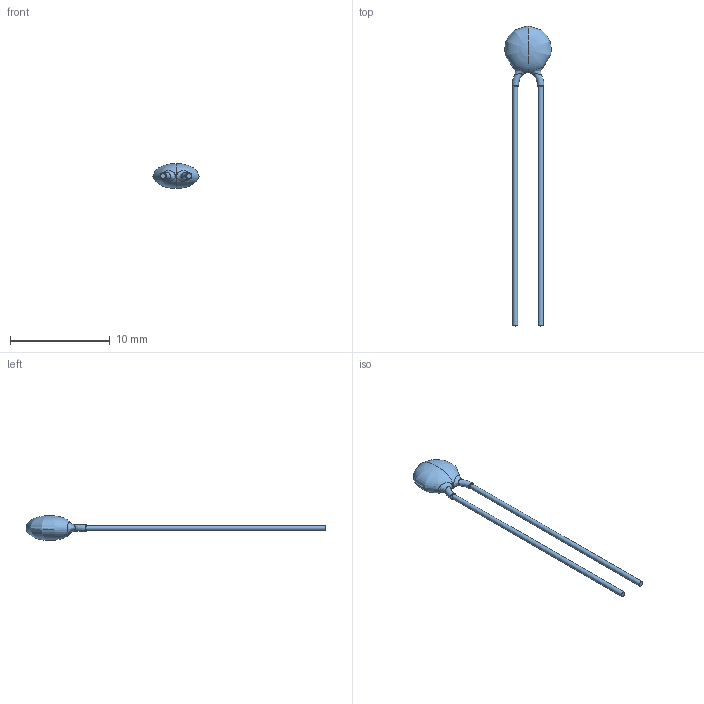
import cadquery as cq
import math

body_diameter = 4.7
body_thickness = 2.5
overall_length = 30.03
lead_pitch = 2.54
lead_diameter = 0.5
sleeve_diameter = 0.65
sleeve_end_y = -3.72
sleeve_end_rounding = 0.1
sleeve_straight_length = 0.12
bend_radius = 1.95
bend_angle = 55.0
root_fillet_radius = 0.65

body_radius = body_diameter / 2
lead_end_y = body_radius - overall_length
lead_x = -lead_pitch / 2
bend_start_y = sleeve_end_y + sleeve_straight_length


def make_half_body():
    """Half of the lens-shaped ellipsoid, on the -X side of the YZ plane."""
    half_thickness = body_thickness / 2
    profile = (
        cq.Workplane("XZ")
        .moveTo(0, -half_thickness)
        .ellipseArc(body_radius, half_thickness, -90, 90, startAtCurrent=True)
        .close()
    )
    body = profile.revolve(360, (0, 0, 0), (0, 1, 0))
    keep_box = cq.Workplane("XY").box(
        body_diameter, 2 * body_diameter, 2 * body_thickness, centered=(False, True, True)
    )
    return body.intersect(keep_box.translate((-body_diameter, 0, 0)))


def make_sleeve():
    """Coating sleeve: straight at its open end, then bending inward into the body."""

    def bend_point(angle):
        turn = math.radians(angle)
        return (
            lead_x + bend_radius * (1 - math.cos(turn)),
            bend_start_y + bend_radius * math.sin(turn),
        )

    path = (
        cq.Workplane("XY")
        .moveTo(lead_x, sleeve_end_y)
        .lineTo(lead_x, bend_start_y)
        .threePointArc(bend_point(bend_angle / 2), bend_point(bend_angle))
    )
    sleeve = (
        cq.Workplane("XZ", origin=(lead_x, sleeve_end_y, 0))
        .circle(sleeve_diameter / 2)
        .sweep(path)
    )
    return sleeve.faces("<Y").edges().fillet(sleeve_end_rounding)


def make_lead():
    """Bare straight wire from inside the sleeve to the free end."""
    return (
        cq.Workplane("XZ", origin=(lead_x, bend_start_y, 0))
        .circle(lead_diameter / 2)
        .extrude(bend_start_y - lead_end_y)
    )


def blend_sleeve_root(half):
    """Fillet the seam where the sleeve enters the body."""
    reach = sleeve_diameter
    low_corner = (lead_x - reach, bend_start_y + reach / 2, -reach)
    high_corner = (-reach / 4, -body_radius / 2, reach)
    root_edge = cq.selectors.BoxSelector(low_corner, high_corner, boundingbox=True)
    return half.edges(root_edge).fillet(root_fillet_radius)


coated_half = blend_sleeve_root(make_half_body().union(make_sleeve()))
half = coated_half.union(make_lead())
result = half.union(half.mirror("YZ"))